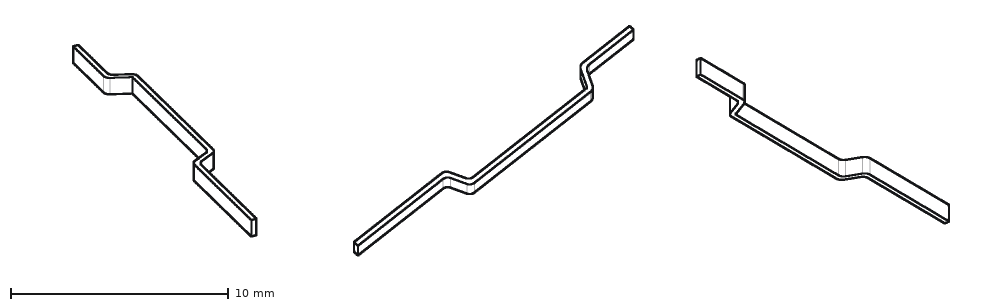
import cadquery as cq
import math

length = 17.13
depth = 1.39
height = 0.9

thickness = 0.27
bend_angle = 65.0
bend_radius = 0.325

raised_left = 3.65
raised_right = 10.94

rise = depth - thickness
leg_run = rise / math.tan(math.radians(bend_angle))
miter_shift = thickness * math.tan(math.radians(bend_angle / 2))

foot_left = raised_left - leg_run
foot_right = raised_right + leg_run
near_corners = [
    (foot_left, 0),
    (raised_left, rise),
    (raised_right, rise),
    (foot_right, 0),
]

far_corners = [
    (foot_left - miter_shift, thickness),
    (raised_left - miter_shift, depth),
    (raised_right + miter_shift, depth),
    (foot_right + miter_shift, thickness),
]


def bent_strip():
    """Hat-shaped strip with sharp bends, its left end at x = 0."""
    outline = [(0, 0), *near_corners, (length, 0)]
    outline += [(length, thickness), *reversed(far_corners), (0, thickness)]
    return cq.Workplane("XY").polyline(outline).close().extrude(height)


def round_bends(strip):
    """Round every bend edge except the left inner corner of the raised middle, which stays sharp."""
    sharp_corner = (raised_left, rise)
    for corner in near_corners + far_corners:
        if corner == sharp_corner:
            continue
        bend_edge = cq.selectors.NearestToPointSelector((*corner, height / 2))
        strip = strip.edges("|Z").edges(bend_edge).fillet(bend_radius)
    return strip


result = round_bends(bent_strip()).translate((-length / 2, 0, -height / 2))